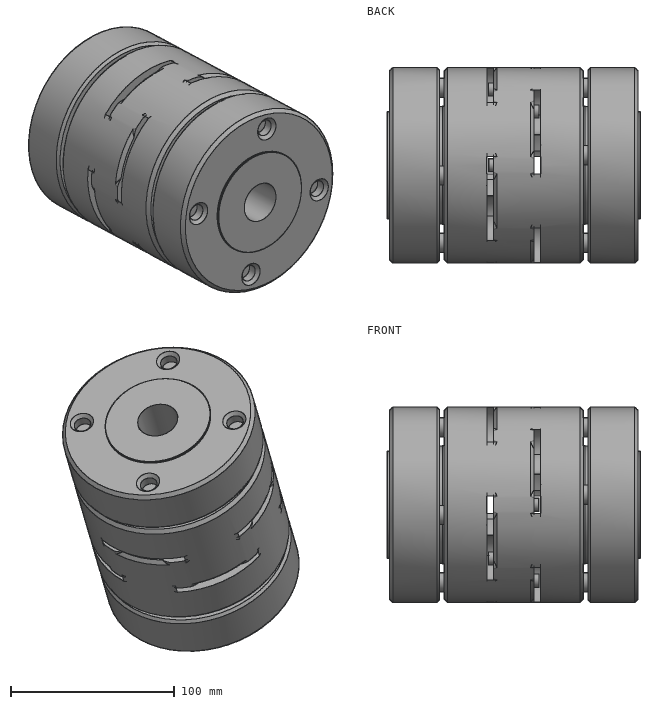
import cadquery as cq
import math

half_length = 77.5
outer_diameter = 120.0

flange_outer_face = 76.3
flange_inner_face = 45.4
collar_step = 43.7
body_end_face = 42.6
slot_outer_wall = 16.5
pin_tip = 15.3
disc_face = 12.5
disc_chamfer_base = 10.4

hub_diameter = 65.7
hub_chamfer = 0.3
collar_outer_diameter = 72.0
collar_inner_diameter = 72.4
hub_bore_diameter = 25.0
disc_bore_diameter = 22.5
outer_chamfer = 2.2
flange_inner_chamfer = 1.7

fasteners_per_ring = 4
fastener_circle_radius = 47.9
fastener_angle = 7.5
screw_hole_diameter = 10.2
screw_hole_mouth_diameter = 14.4
screw_hole_depth = 7.8
spacer_diameter = 12.0

boss_circle_radius = 46.5
boss_count = 8
boss_pitch = 360 / boss_count
boss_base_radius = 14.3
boss_top_radius = 14.0
pin_diameter = 8.0
pin_count = boss_count // 2
left_pin_angle = boss_pitch
right_pin_angle = 0.0
lug_inner_diameter = 72.4
lug_pitch = 2 * boss_pitch
first_lug_angle = boss_pitch / 2
lug_bar_width = 39.7


def cylinder(diameter, x_start, x_end, radius_from_axis=0.0, angle=0.0):
    """Cylinder along X; the angle is measured from -Y towards +Z."""
    y = -radius_from_axis * math.cos(math.radians(angle))
    z = radius_from_axis * math.sin(math.radians(angle))
    plane = cq.Workplane("YZ", origin=(x_start, y, z))
    return plane.circle(diameter / 2).extrude(x_end - x_start)


def cone(x_start, x_end, start_radius, end_radius, radius_from_axis, angle):
    """Truncated cone along X, placed like a cylinder."""
    y = -radius_from_axis * math.cos(math.radians(angle))
    z = radius_from_axis * math.sin(math.radians(angle))
    solid = cq.Solid.makeCone(
        start_radius, end_radius, x_end - x_start, pnt=cq.Vector(x_start, y, z), dir=cq.Vector(1, 0, 0)
    )
    return cq.Workplane(obj=solid)


def ring_angles(count, first_angle, pitch):
    """Evenly stepped angles around the axis, in degrees."""
    return [first_angle + i * pitch for i in range(count)]


def make_flange():
    """Left clamping flange with its hub, collar, screw holes and spacers."""
    flange = cylinder(outer_diameter, -flange_outer_face, -flange_inner_face)
    flange = flange.faces("<X").chamfer(outer_chamfer)
    flange = flange.faces(">X").chamfer(flange_inner_chamfer)
    hub = cylinder(hub_diameter, -half_length, -flange_outer_face)
    flange = flange.union(hub.faces("<X").chamfer(hub_chamfer))
    flange = flange.union(cylinder(collar_outer_diameter, -flange_inner_face, -collar_step))
    flange = flange.union(cylinder(collar_inner_diameter, -collar_step, -body_end_face))

    mouth_radius = screw_hole_mouth_diameter / 2
    hole_radius = screw_hole_diameter / 2
    mouth_end = -flange_outer_face + mouth_radius - hole_radius
    hole_end = -flange_outer_face + screw_hole_depth
    for angle in ring_angles(fasteners_per_ring, -fastener_angle, 360 / fasteners_per_ring):
        place = (fastener_circle_radius, angle)
        flange = flange.cut(cylinder(screw_hole_diameter, -flange_outer_face, hole_end, *place))
        flange = flange.cut(cone(-flange_outer_face, mouth_end, mouth_radius, hole_radius, *place))
        flange = flange.union(cylinder(spacer_diameter, -flange_inner_face, -body_end_face, *place))
    return flange


def make_lugs():
    """Lugs reaching from the body end over the disc chamfer, hollowed around the bosses."""
    lugs = cylinder(outer_diameter, -slot_outer_wall, -disc_chamfer_base)
    lugs = lugs.cut(cylinder(lug_inner_diameter, -slot_outer_wall, -disc_chamfer_base))
    for angle in ring_angles(boss_count, 0.0, boss_pitch):
        place = (boss_circle_radius, angle)
        lugs = lugs.cut(cylinder(2 * boss_base_radius, -slot_outer_wall, -disc_chamfer_base, *place))

    lug_length = slot_outer_wall - disc_chamfer_base
    bar = cq.Workplane("XY").box(lug_length, outer_diameter, lug_bar_width)
    bar = bar.translate((-(slot_outer_wall + disc_chamfer_base) / 2, 0, 0))
    cross = cq.Workplane("YZ")
    for angle in ring_angles(2, -first_lug_angle, lug_pitch):
        cross = cross.union(bar.rotate((0, 0, 0), (1, 0, 0), angle))
    return lugs.intersect(cross)


def make_bosses():
    """Slightly conical bosses that fill the disc chamfer at even steps, flush with the disc face."""
    bosses = cq.Workplane("YZ")
    for angle in ring_angles(boss_count, 0.0, boss_pitch):
        bosses = bosses.union(
            cone(-disc_face, -disc_chamfer_base, boss_top_radius, boss_base_radius, boss_circle_radius, angle)
        )
    return bosses.intersect(cylinder(outer_diameter, -disc_face, -disc_chamfer_base))


def make_pins(first_angle):
    """Pins standing on every second boss."""
    pins = cq.Workplane("YZ")
    for angle in ring_angles(pin_count, first_angle, 2 * boss_pitch):
        pins = pins.union(cylinder(pin_diameter, -pin_tip, -disc_face, boss_circle_radius, angle))
    return pins


def make_end(first_pin_angle):
    """Everything on the left of the disc: flange, body end, lugs, bosses and pins."""
    body_end = cylinder(outer_diameter, -body_end_face, -slot_outer_wall)
    body_end = body_end.faces("<X").chamfer(outer_chamfer)
    end = make_flange().union(body_end)
    end = end.cut(cylinder(hub_bore_diameter, -half_length, -slot_outer_wall))
    return end.union(make_lugs()).union(make_bosses()).union(make_pins(first_pin_angle))


left_end = make_end(left_pin_angle)
right_end = make_end(right_pin_angle).rotate((0, 0, 0), (0, 1, 0), 180)
disc = cylinder(outer_diameter, -disc_face, disc_face)
disc = disc.faces("<X or >X").chamfer(disc_face - disc_chamfer_base)
disc = disc.cut(cylinder(disc_bore_diameter, -disc_face, disc_face))
result = disc.union(left_end).union(right_end).clean()